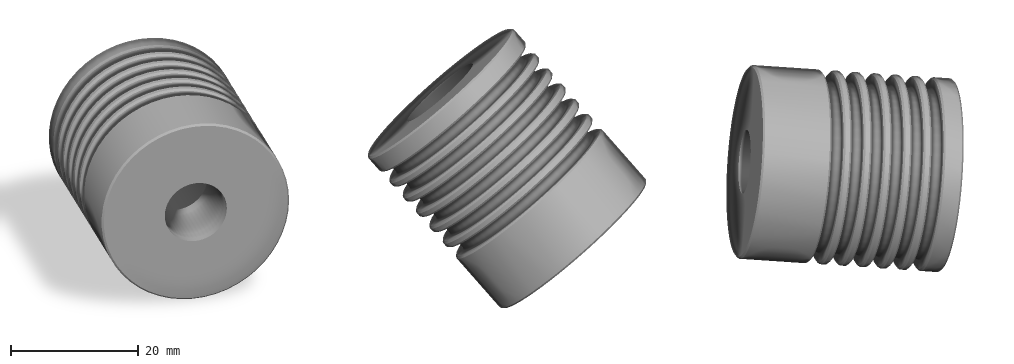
import cadquery as cq
import math

length = 32.15
outer_radius = 30.54 / 2
edge_chamfer = 0.3

front_collar_width = 3.25
groove_count = 6
groove_width = 1.9
rib_width = 1.3
groove_pitch = groove_width + rib_width
root_radius = 13.4
root_fillet = 0.25

bore_radius = 10.1 / 2
counterbore_radius = 13.65 / 2
counterbore_depth = 20.0
drill_point_angle = 140.0
half_point_angle = math.radians(drill_point_angle / 2)
floor_cone_length = (counterbore_radius - bore_radius) / math.tan(half_point_angle)


def turned_body():
    """Plain cylinder along +X, centred on the X axis, with both ends chamfered."""
    body = cq.Workplane("YZ").circle(outer_radius).extrude(length)
    return body.faces("<X or >X").edges().chamfer(edge_chamfer)


def groove_cutter(start):
    """Ring with chamfered groove lips and rounded root corners."""
    end = start + groove_width
    lip_radius = outer_radius - edge_chamfer
    corner_radius = root_radius + root_fillet
    profile = (
        cq.Workplane("XY")
        .moveTo(start - edge_chamfer, outer_radius)
        .lineTo(start, lip_radius)
        .lineTo(start, corner_radius)
        .radiusArc((start + root_fillet, root_radius), -root_fillet)
        .lineTo(end - root_fillet, root_radius)
        .radiusArc((end, corner_radius), -root_fillet)
        .lineTo(end, lip_radius)
        .lineTo(end + edge_chamfer, outer_radius)
        .close()
    )
    return profile.revolve(360, (0, 0, 0), (1, 0, 0))


def bore_cutter():
    """Stepped hole: wide at the collar end, coned down to the through bore."""
    profile = (
        cq.Workplane("XY")
        .moveTo(0, 0)
        .lineTo(0, counterbore_radius)
        .lineTo(counterbore_depth, counterbore_radius)
        .lineTo(counterbore_depth + floor_cone_length, bore_radius)
        .lineTo(length, bore_radius)
        .lineTo(length, 0)
        .close()
    )
    return profile.revolve(360, (0, 0, 0), (1, 0, 0))


result = turned_body()
for index in range(groove_count):
    result = result.cut(groove_cutter(front_collar_width + index * groove_pitch))
result = result.cut(bore_cutter())